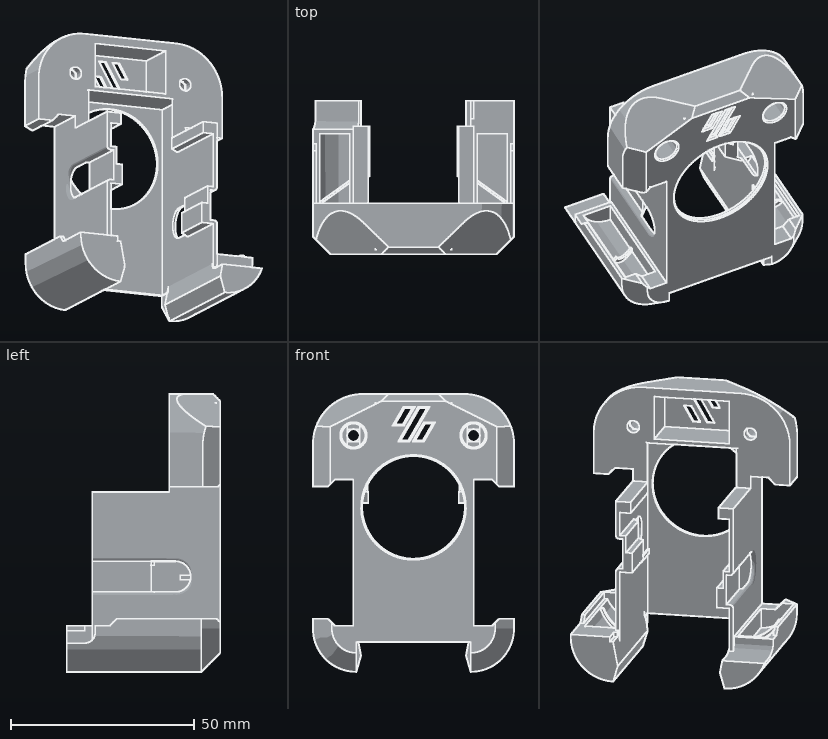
import cadquery as cq
import math

WIDTH = 55.0
DEPTH = 42.0
HEIGHT = 75.96
HALF_WIDTH = WIDTH / 2

BODY_HALF_WIDTH = 16.5
BODY_DEPTH = 35.0
WALL = 1.2
INNER_HALF_WIDTH = BODY_HALF_WIDTH - WALL
SIDE_WALL_TOP = 49.2
FRONT_WALL_BOTTOM = 8.15

FAN_Z = 44.96
FAN_DIAMETER = 28.0
FAN_CHAMFER = 0.35
CAVITY_TOP = FAN_Z + INNER_HALF_WIDTH

HEAD_DEPTH = 14.0
HEAD_CORNER_RADIUS = WIDTH / 4
EAR_BOTTOM = 50.65
STEP = 1.9
STEP_OUTER_X = 23.35
STEP_INNER_X = STEP_OUTER_X - STEP
EAR_STEP_Z = EAR_BOTTOM + STEP
HEAD_SIDE_CHAMFER = 4.8
HEAD_TOP_CHAMFER = 2.0
CORNER_FACET_X = 8.77
CORNER_FACET_DROP = 8.95
CORNER_FACET_TOP_X = 6.82

SCREW_X = 16.4
SCREW_Z = 64.6
SCREW_DIAMETER = 3.4
SCREW_HEAD_DIAMETER = 6.5
SCREW_HEAD_CHAMFER = 0.4
SCREW_HEAD_DEPTH = 10.0
BRIDGE_LAYER = 0.25

WINDOWS = [(-5.75, 67.2, 72.5), (-4.2, 62.9, 72.5), (-0.25, 62.9, 68.2)]
WINDOW_WIDTH = 3.1
WINDOW_SLANT = math.radians(30)
WINDOW_LIP = 0.45

POCKET_HALF_WIDTH = 10.5
POCKET_BOTTOM = CAVITY_TOP + WALL
POCKET_TOP = 73.5

LEFT_SLOT_Z = 26.05
RIGHT_SLOT_Z = 34.4
SLOT_RADIUS = 4.2
SLOT_ROUNDING = 1.0
SLOT_END_Y = 12.3
SLOT_POCKET_DEPTH = 2.0
SLOT_RAIL_START_Y = 18.1
SLOT_RAIL_HALF_HEIGHT = SLOT_RADIUS + SLOT_ROUNDING
SLOT_RAIL_INNER_X = 13.6
SLOT_LEDGE_INNER_X = 11.9
SLOT_LEDGE_HEIGHT = 5.6
TOP_RAIL_BOTTOM = 46.1
TOP_RAIL_START_Y = 11.2
TOP_RAIL_INNER_X = 12.3

RIB_Z = 25.8
RIB_HEIGHT = 1.3
RIB_THICKNESS = 0.4
RIB_END_Y = 10.9

FOOT_TOP = 14.56
FOOT_STEP_TOP = FOOT_TOP - STEP
FOOT_RADIUS = 11.9
FOOT_INNER_X = HALF_WIDTH - FOOT_RADIUS
FOOT_CHAMFER = 5.2
LIP_THICKNESS = 0.95
LIP_END_Y = 28.3
TOOTH_START_Y = FOOT_CHAMFER
TOOTH_TIP_X = 14.3
TOOTH_TIP_Z = 4.5
TOOTH_ROOT_X = 15.0
FOOT_INNER_TOP = 11.3
TAIL_LEDGE_Y = 37.0

TROUGH_INNER_X = 17.4
TROUGH_OUTER_WALL = 1.9
TROUGH_OUTER_X = HALF_WIDTH - TROUGH_OUTER_WALL
TROUGH_WIDTH = TROUGH_OUTER_X - TROUGH_INNER_X
TROUGH_DEPTH = 5.4
TROUGH_RADIUS = (TROUGH_WIDTH**2 + TROUGH_DEPTH**2) / (2 * TROUGH_DEPTH)
TROUGH_START_Y = 5.2
TROUGH_END_Y = 32.9
GUSSET_REAR_Y = 20.2
GUSSET_FRONT_Y = 14.3
GUSSET_WIDTH = 0.7
GUSSET_HEIGHT = 1.0

TAIL_CUT_Y = 34.2
TAIL_CUT_Z = 7.9
TAIL_CUT_RADIUS = 2.8


def box(x0, x1, y0, y1, z0, z1):
    """Box given by its limits along each axis."""
    return cq.Workplane("XY").box(x1 - x0, y1 - y0, z1 - z0, centered=False).translate((x0, y0, z0))


def front_sketch(y):
    """XZ workplane at depth y; extruding by a negative length runs towards +Y."""
    return cq.Workplane("XZ", origin=(0, y, 0))


def mirrored(shape):
    return shape.mirror("YZ")


def beyond_plane(point, normal):
    """Large block filling the space on the outer side of a plane."""
    size = 2 * HEIGHT
    plane = cq.Plane(origin=point, normal=normal)
    return cq.Workplane(plane).rect(size, size).extrude(size)


def make_head():
    right_side = [
        (BODY_HALF_WIDTH, EAR_STEP_Z),
        (STEP_INNER_X, EAR_STEP_Z),
        (STEP_OUTER_X, EAR_BOTTOM),
        (HALF_WIDTH, EAR_BOTTOM),
        (HALF_WIDTH, HEIGHT - HEAD_CORNER_RADIUS),
    ]
    diagonal = HEAD_CORNER_RADIUS * (1 - math.sqrt(0.5))
    arc_end_x = HALF_WIDTH - HEAD_CORNER_RADIUS
    head = (
        front_sketch(0)
        .moveTo(-BODY_HALF_WIDTH, EAR_STEP_Z)
        .polyline(right_side, includeCurrent=True)
        .threePointArc((HALF_WIDTH - diagonal, HEIGHT - diagonal), (arc_end_x, HEIGHT))
        .lineTo(-arc_end_x, HEIGHT)
        .threePointArc(
            (diagonal - HALF_WIDTH, HEIGHT - diagonal), (-HALF_WIDTH, HEIGHT - HEAD_CORNER_RADIUS)
        )
        .lineTo(-HALF_WIDTH, EAR_BOTTOM)
        .lineTo(-STEP_OUTER_X, EAR_BOTTOM)
        .lineTo(-STEP_INNER_X, EAR_STEP_Z)
        .close()
        .extrude(-HEAD_DEPTH)
    )
    side_x = HALF_WIDTH - HEAD_SIDE_CHAMFER
    facet_start = cq.Vector(CORNER_FACET_X, 0, HEIGHT - HEAD_TOP_CHAMFER)
    facet_end = cq.Vector(side_x, 0, HEIGHT - CORNER_FACET_DROP)
    facet_top = cq.Vector(CORNER_FACET_TOP_X, HEAD_TOP_CHAMFER, HEIGHT)
    facet_normal = (facet_end - facet_start).cross(facet_top - facet_start)
    side_facet = beyond_plane((side_x, 0, EAR_BOTTOM), (1, -1, 0))
    corner_facet = beyond_plane(facet_start.toTuple(), facet_normal.toTuple())
    top_facet = beyond_plane((0, 0, HEIGHT - HEAD_TOP_CHAMFER), (0, -1, 1))
    for facet in (side_facet, corner_facet):
        head = head.cut(facet).cut(mirrored(facet))
    return head.cut(top_facet)


def make_rail(start_y, inner_x, bottom, top):
    """Thickening inside the right wall with a 45 degree leading face."""
    ramp_end_y = start_y + INNER_HALF_WIDTH - inner_x
    outline = [
        (BODY_HALF_WIDTH - WALL / 2, start_y),
        (INNER_HALF_WIDTH, start_y),
        (inner_x, ramp_end_y),
        (inner_x, BODY_DEPTH),
        (BODY_HALF_WIDTH - WALL / 2, BODY_DEPTH),
    ]
    return cq.Workplane("XY", origin=(0, 0, bottom)).polyline(outline).close().extrude(top - bottom)


def make_side_wall(slot_z):
    """Right-hand side wall with its rails and a slot that is open at the back."""
    wall = box(INNER_HALF_WIDTH, BODY_HALF_WIDTH, 0, BODY_DEPTH, FRONT_WALL_BOTTOM, SIDE_WALL_TOP)
    rail_bottom = slot_z - SLOT_RAIL_HALF_HEIGHT
    rail_top = slot_z + SLOT_RAIL_HALF_HEIGHT
    ledge_top = rail_bottom + SLOT_LEDGE_HEIGHT
    wall = wall.union(make_rail(SLOT_RAIL_START_Y, SLOT_RAIL_INNER_X, rail_bottom, rail_top))
    wall = wall.union(make_rail(SLOT_RAIL_START_Y, SLOT_LEDGE_INNER_X, rail_bottom, ledge_top))
    wall = wall.union(make_rail(TOP_RAIL_START_Y, TOP_RAIL_INNER_X, TOP_RAIL_BOTTOM, SIDE_WALL_TOP))
    head_rail = make_rail(TOP_RAIL_START_Y, TOP_RAIL_INNER_X, SIDE_WALL_TOP, CAVITY_TOP)
    wall = wall.union(head_rail.intersect(box(0, HALF_WIDTH, 0, HEAD_DEPTH, 0, HEIGHT)))

    pocket_floor_x = BODY_HALF_WIDTH - SLOT_POCKET_DEPTH
    slot = (
        cq.Workplane("YZ", origin=(pocket_floor_x, 0, 0))
        .moveTo(BODY_DEPTH, slot_z - SLOT_RADIUS)
        .lineTo(SLOT_END_Y, slot_z - SLOT_RADIUS)
        .threePointArc((SLOT_END_Y - SLOT_RADIUS, slot_z), (SLOT_END_Y, slot_z + SLOT_RADIUS))
        .lineTo(BODY_DEPTH, slot_z + SLOT_RADIUS)
        .close()
        .extrude(SLOT_POCKET_DEPTH)
    )
    slot_rim = cq.selectors.BoxSelector(
        (pocket_floor_x, WALL, slot_z - SLOT_RAIL_HALF_HEIGHT),
        (HALF_WIDTH, BODY_DEPTH, slot_z + SLOT_RAIL_HALF_HEIGHT),
    )
    return wall.cut(slot).faces(">X").edges(slot_rim).fillet(SLOT_ROUNDING)


def make_foot():
    """Right-hand foot with its rounded outside, rail step, trough and inner tooth."""
    diagonal = FOOT_RADIUS * math.sqrt(0.5)
    foot = (
        front_sketch(0)
        .moveTo(FOOT_INNER_X, 0)
        .threePointArc(
            (FOOT_INNER_X + diagonal, FOOT_RADIUS - diagonal), (HALF_WIDTH, FOOT_RADIUS)
        )
        .lineTo(HALF_WIDTH, FOOT_TOP)
        .lineTo(STEP_OUTER_X, FOOT_TOP)
        .lineTo(STEP_INNER_X, FOOT_STEP_TOP)
        .lineTo(FOOT_INNER_X, FOOT_STEP_TOP)
        .close()
        .extrude(-DEPTH)
    )
    rounded_rim = foot.faces("<Y").edges("%CIRCLE or >X")
    foot = rounded_rim.chamfer(FOOT_CHAMFER)

    tooth_outline = [
        (FOOT_INNER_X, 0),
        (TOOTH_TIP_X, TOOTH_TIP_Z),
        (TOOTH_ROOT_X, FRONT_WALL_BOTTOM),
        (FOOT_INNER_X, FOOT_INNER_TOP),
    ]
    tooth = front_sketch(TOOTH_START_Y).polyline(tooth_outline).close().extrude(TOOTH_START_Y - DEPTH)
    foot = foot.union(tooth)

    lip_inner_x = HALF_WIDTH - LIP_THICKNESS
    foot = foot.cut(box(STEP_INNER_X, lip_inner_x, TROUGH_START_Y, DEPTH, FOOT_STEP_TOP, FOOT_TOP))
    lip_end = (
        cq.Workplane("YZ", origin=(lip_inner_x, 0, 0))
        .moveTo(LIP_END_Y, FOOT_TOP)
        .lineTo(LIP_END_Y + STEP, FOOT_STEP_TOP)
        .lineTo(DEPTH, FOOT_STEP_TOP)
        .lineTo(DEPTH, FOOT_TOP)
        .close()
        .extrude(LIP_THICKNESS)
    )
    foot = foot.cut(lip_end)

    trough = trough_cylinder(TROUGH_RADIUS, TROUGH_START_Y, TROUGH_END_Y).intersect(
        box(TROUGH_INNER_X, TROUGH_OUTER_X, 0, DEPTH, 0, FOOT_TOP)
    )
    return foot.cut(trough).union(make_gusset())


def trough_cylinder(radius, start_y, end_y):
    """Cylinder about the axis of the right-hand trough's round floor."""
    axis = front_sketch(start_y).center(TROUGH_INNER_X, FOOT_STEP_TOP - TROUGH_DEPTH + TROUGH_RADIUS)
    return axis.circle(radius).extrude(start_y - end_y)


def make_gusset():
    """Thin diagonal rib that follows the curved floor of the right-hand trough."""
    outline = [
        (TROUGH_INNER_X, GUSSET_REAR_Y),
        (TROUGH_OUTER_X, GUSSET_FRONT_Y),
        (TROUGH_OUTER_X, GUSSET_FRONT_Y - GUSSET_WIDTH),
        (TROUGH_INNER_X, GUSSET_REAR_Y - GUSSET_WIDTH),
    ]
    rib = cq.Workplane("XY").polyline(outline).close().extrude(FOOT_STEP_TOP)
    shell = trough_cylinder(TROUGH_RADIUS + TROUGH_OUTER_WALL / 2, 0, DEPTH).cut(
        trough_cylinder(TROUGH_RADIUS - GUSSET_HEIGHT, 0, DEPTH)
    )
    return rib.intersect(shell)


def left_tail_cut():
    """Space above the lowered rear end of the left foot, with a rounded inner corner."""
    arc_offset = TAIL_CUT_RADIUS * (1 - math.sqrt(0.5))
    return (
        cq.Workplane("YZ", origin=(-HALF_WIDTH, 0, 0))
        .moveTo(DEPTH, TAIL_CUT_Z)
        .lineTo(TAIL_CUT_Y + TAIL_CUT_RADIUS, TAIL_CUT_Z)
        .threePointArc(
            (TAIL_CUT_Y + arc_offset, TAIL_CUT_Z + arc_offset),
            (TAIL_CUT_Y, TAIL_CUT_Z + TAIL_CUT_RADIUS),
        )
        .lineTo(TAIL_CUT_Y, FOOT_TOP)
        .lineTo(DEPTH, FOOT_TOP)
        .close()
        .extrude(HALF_WIDTH)
    )


def screw_hole(x):
    """Stepped hole: head bore, two bridging layers (slot, then square) and a through hole."""
    radius = SCREW_HEAD_DIAMETER / 2
    mouth = radius + SCREW_HEAD_CHAMFER
    hole = front_sketch(0).center(x, SCREW_Z).circle(SCREW_DIAMETER / 2).extrude(-HEAD_DEPTH)
    bore = front_sketch(0).center(x, SCREW_Z).circle(radius).extrude(-SCREW_HEAD_DEPTH)
    cone = cq.Solid.makeCone(
        mouth, radius, SCREW_HEAD_CHAMFER, pnt=cq.Vector(x, 0, SCREW_Z), dir=cq.Vector(0, 1, 0)
    )
    bridge = front_sketch(SCREW_HEAD_DEPTH).center(x, SCREW_Z)
    slot = bridge.rect(SCREW_DIAMETER, SCREW_HEAD_DIAMETER).extrude(-BRIDGE_LAYER)
    slot = slot.intersect(bridge.circle(radius).extrude(-BRIDGE_LAYER))
    square = bridge.rect(SCREW_DIAMETER, SCREW_DIAMETER).extrude(-2 * BRIDGE_LAYER)
    return hole.union(bore).union(cq.Workplane(cone)).union(slot).union(square)


def window(left_x, bottom, top):
    """Slanted window through the head with a bevelled mouth."""
    shift = (top - bottom) * math.tan(WINDOW_SLANT)
    outline = [
        (left_x, bottom),
        (left_x + WINDOW_WIDTH, bottom),
        (left_x + WINDOW_WIDTH + shift, top),
        (left_x + shift, top),
    ]
    mouth = front_sketch(0).polyline(outline).close()
    opening = front_sketch(0).polyline(outline).close().offset2D(-WINDOW_LIP).extrude(-HEAD_DEPTH)
    bevel = mouth.extrude(-WINDOW_LIP, taper=45)
    return opening.union(bevel)


def fan_hole():
    radius = FAN_DIAMETER / 2
    hole = front_sketch(0).center(0, FAN_Z).circle(radius).extrude(-HEAD_DEPTH)
    cone = cq.Solid.makeCone(
        radius + FAN_CHAMFER, radius, FAN_CHAMFER, pnt=cq.Vector(0, 0, FAN_Z), dir=cq.Vector(0, 1, 0)
    )
    return hole.union(cq.Workplane(cone))


cavity = box(-INNER_HALF_WIDTH, INNER_HALF_WIDTH, WALL, HEAD_DEPTH, FRONT_WALL_BOTTOM, CAVITY_TOP)
pocket = box(
    -POCKET_HALF_WIDTH, POCKET_HALF_WIDTH, WALL, HEAD_DEPTH, POCKET_BOTTOM, POCKET_TOP
)
front_wall = box(-BODY_HALF_WIDTH, BODY_HALF_WIDTH, 0, WALL, FRONT_WALL_BOTTOM, EAR_STEP_Z)
neck = box(-BODY_HALF_WIDTH, BODY_HALF_WIDTH, 0, HEAD_DEPTH, SIDE_WALL_TOP, EAR_STEP_Z)
body = make_head().union(front_wall).union(neck).cut(cavity).cut(pocket)

body = body.cut(fan_hole())
for screw_x in (-SCREW_X, SCREW_X):
    body = body.cut(screw_hole(screw_x))
for left_x, bottom, top in WINDOWS:
    body = body.cut(window(left_x, bottom, top))

body = body.union(make_side_wall(RIGHT_SLOT_Z)).union(mirrored(make_side_wall(LEFT_SLOT_Z)))
rib = box(
    INNER_HALF_WIDTH - RIB_THICKNESS, INNER_HALF_WIDTH, WALL, RIB_END_Y,
    RIB_Z - RIB_HEIGHT / 2, RIB_Z + RIB_HEIGHT / 2,
)
body = body.union(rib)

right_foot = make_foot()
left_foot = mirrored(right_foot).cut(left_tail_cut())
tail_ledge = box(
    FOOT_INNER_X, BODY_HALF_WIDTH, TAIL_LEDGE_Y, DEPTH, FOOT_INNER_TOP, FOOT_STEP_TOP
)
result = body.union(right_foot.cut(tail_ledge)).union(left_foot)